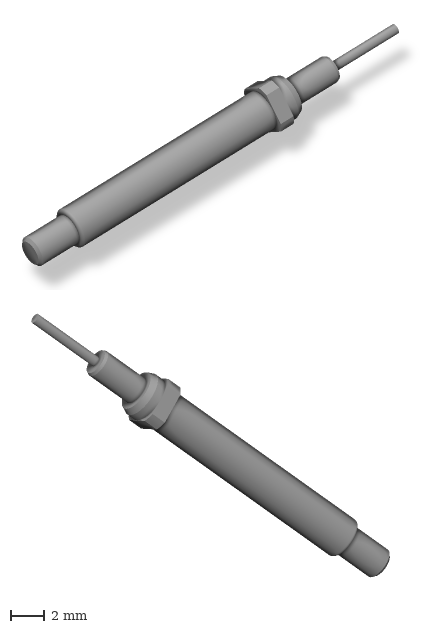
import cadquery as cq

total_length = 28.3

plunger_diameter = 2.0
plunger_length = 3.0
plunger_chamfer = 0.2

body_diameter = 2.65
body_length = 15.0
body_end_fillet = 0.2

flange_width = 3.0
flange_diameter = 3.6
flange_thickness = 1.0

collar_diameter = 2.97
collar_length = 0.6
cone_end_diameter = 2.6
cone_length = 0.42

neck_diameter = 1.8
neck_length = 3.3
neck_chamfer = 0.2
neck_chamfer_depth = 0.08

tail_diameter = 0.65

tip_y = -total_length / 2
body_y = tip_y + plunger_length
flange_y = body_y + body_length
collar_y = flange_y + flange_thickness
cone_y = collar_y + collar_length
neck_y = cone_y + cone_length
tail_y = neck_y + neck_length
end_y = tip_y + total_length


def turned_pin():
    """Revolve the stepped profile, given as (radius, y) points, about the Y axis."""
    plunger_r = plunger_diameter / 2
    body_r = body_diameter / 2
    collar_r = collar_diameter / 2
    neck_r = neck_diameter / 2
    tail_r = tail_diameter / 2
    plunger_profile = [
        (0, tip_y),
        (plunger_r - plunger_chamfer, tip_y),
        (plunger_r, tip_y + plunger_chamfer),
        (plunger_r, body_y),
        (body_r - body_end_fillet, body_y),
    ]
    body_fillet_end = (body_r, body_y + body_end_fillet)
    rear_profile = [
        (body_r, collar_y),
        (collar_r, collar_y),
        (collar_r, cone_y),
        (cone_end_diameter / 2, neck_y),
        (neck_r, neck_y),
        (neck_r, tail_y - neck_chamfer),
        (neck_r - neck_chamfer_depth, tail_y),
        (tail_r, tail_y),
        (tail_r, end_y),
        (0, end_y),
    ]
    outline = (
        cq.Workplane("XY")
        .polyline(plunger_profile)
        .tangentArcPoint(body_fillet_end, relative=False)
        .polyline(rear_profile, includeCurrent=True)
        .close()
    )
    return outline.revolve(360, (0, 0, 0), (0, 1, 0))


def flange():
    """Square plate standing on its corner, with the corners rounded about the pin axis."""
    base = cq.Workplane("XZ", origin=(0, flange_y, 0))
    square = (
        base.transformed(rotate=(0, 0, 45))
        .rect(flange_width, flange_width)
        .extrude(-flange_thickness)
    )
    corner_limit = base.circle(flange_diameter / 2).extrude(-flange_thickness)
    return square.intersect(corner_limit)


result = turned_pin().union(flange())